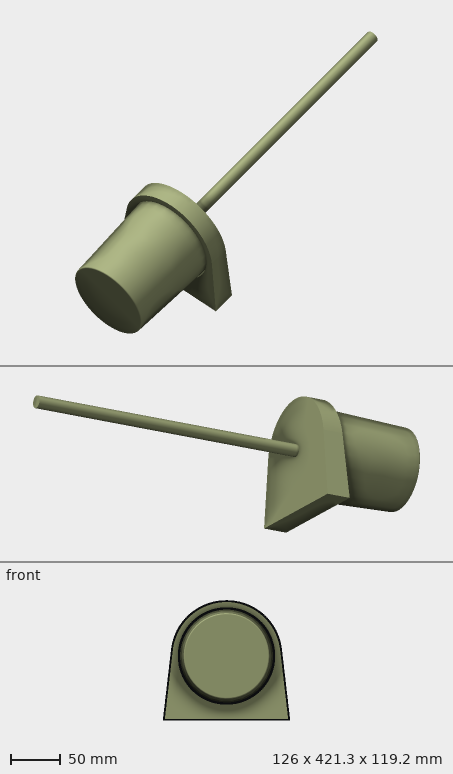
import cadquery as cq
import math

plate_width = 126.0
plate_height = 119.2
arch_radius = 55.0
plate_top_depth = 19.5
plate_bottom_depth = 25.5
recess_diameter = 96.0
recess_floor = 6.5

axis_height = plate_height - arch_radius
cup_reach = 119.5
cup_root_diameter = 94.8
cup_end_diameter = 86.0
cup_edge_radius = 1.3

total_length = 421.3
rod_diameter = 13.0
rod_length = total_length - cup_reach


def make_plate():
    """Arched plate with tangent straight flanks, a sloping front and a round recess."""
    half_width = plate_width / 2
    corner_distance = math.hypot(half_width, axis_height)
    corner_angle = math.atan2(axis_height, half_width)
    tangent_angle = math.acos(arch_radius / corner_distance) - corner_angle
    tangent_x = arch_radius * math.cos(tangent_angle)
    tangent_z = axis_height + arch_radius * math.sin(tangent_angle)

    blank = (
        cq.Workplane("XZ")
        .moveTo(-half_width, 0)
        .lineTo(half_width, 0)
        .lineTo(tangent_x, tangent_z)
        .threePointArc((0, plate_height), (-tangent_x, tangent_z))
        .close()
        .extrude(plate_bottom_depth)
    )
    side_profile = (
        cq.Workplane("YZ")
        .polyline([
            (0, 0),
            (-plate_bottom_depth, 0),
            (-plate_top_depth, plate_height),
            (0, plate_height),
        ])
        .close()
        .extrude(half_width, both=True)
    )
    recess = (
        cq.Workplane("XZ", origin=(0, -recess_floor, axis_height))
        .circle(recess_diameter / 2)
        .extrude(plate_bottom_depth)
    )
    return blank.intersect(side_profile).cut(recess)


def make_cup():
    """Solid tapered cup with a rounded end edge, seated on the floor of the plate recess."""
    return (
        cq.Workplane("XZ", origin=(0, -recess_floor, axis_height))
        .circle(cup_root_diameter / 2)
        .workplane(offset=cup_reach - recess_floor)
        .circle(cup_end_diameter / 2)
        .loft(ruled=True)
        .faces("<Y")
        .edges()
        .fillet(cup_edge_radius)
    )


def make_rod():
    """Plain round rod ending against the flat back of the plate."""
    return (
        cq.Workplane("XZ")
        .center(0, axis_height)
        .circle(rod_diameter / 2)
        .extrude(-rod_length)
    )


plate = make_plate()
cup = make_cup()
rod = make_rod()

result = cq.Compound.makeCompound([plate.val(), cup.val(), rod.val()])